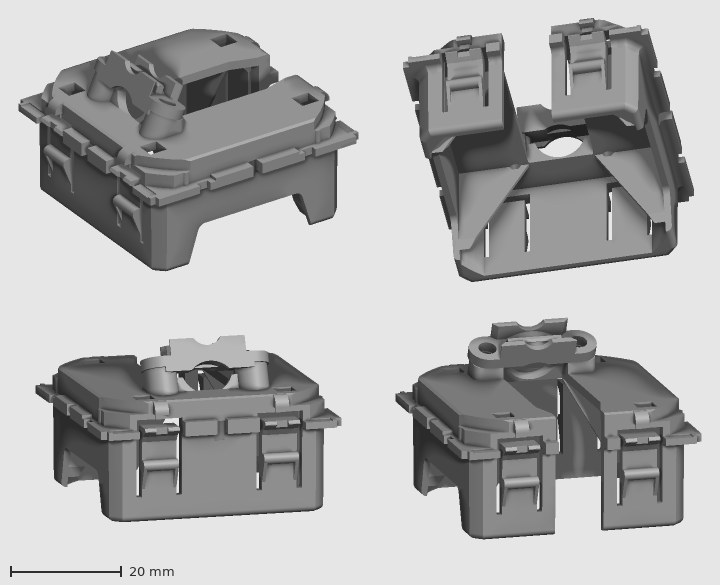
import cadquery as cq
import math

COVER_TOP = 22.2
COVER_THICKNESS = 1.7
COVER_UNDERSIDE = COVER_TOP - COVER_THICKNESS
LEDGE_TOP = 20.0
FLANGE_BOTTOM = 15.85
FLANGE_TOP = 17.35
SIDE_PAD_TOP = 17.95
FRONT_PAD_TOP = 18.45
CORNER_RECESS_FLOOR = 17.1

FLANGE_HALF = 22.525
COVER_HALF = 20.65
WALL_HALF = 20.2
CAVITY_HALF_X = 18.9
CAVITY_HALF_Y = 18.25
WALL_DRAFT = 0.5
WALL_CORNER_RADIUS = 27.15
CAVITY_CORNER_RADIUS = 23.9
LOWER_TIER_RADIUS = 26.65
UPPER_TIER_RADIUS = 24.6
RIM_FILLET = 1.1
FLANGE_FILLET = 1.1
COVER_BEVEL_HEIGHT = 0.28
COVER_BEVEL_WIDTH = 0.6

CORNER_NOTCH = 1.15
SIDE_NOTCH_CENTRE = 11.35
SIDE_NOTCH_WIDTH = 2.3
SIDE_PAD_END = 9.05
KEYWAY_WIDTH = 1.95
KEYWAY_BOTTOM = 14.3
KEYWAY_FLOOR = 20.0

TONGUE_CENTRE = 11.27
TONGUE_WIDTH = 6.5
WINDOW_WIDTH = 8.55
WINDOW_BOTTOM = 4.6
WINDOW_TOP = 18.95
TONGUE_TOP = 17.6
WINDOW_FILLET = 0.3
NOSE_RADIUS = 1.0
NOSE_Y = -20.75
NOSE_Z = 10.45
CHEEK_WIDTH = 0.6
CHEEK_REACH = 21.65
CHEEK_SHOULDER = 10.05
CHEEK_BOTTOM = 6.1
HEAD_NOTCH_WIDTH = 2.2
HEAD_ROOT = 0.7
HEAD_TIP_BOTTOM = 16.95
HEAD_TIP_TOP = 17.1
HEAD_BEVEL = 0.4
HEAD_NOTCH_DEPTH = 0.9
HOOK_WIDTH = 2.55
HOOK_REACH = 22.2
HOOK_BOTTOM = 19.95
HOOK_TOP = COVER_TOP - 0.05
HOOK_SHOULDER = 21.55
HOOK_SHOULDER_REACH = 21.66
HOOK_NECK_WIDTH = 1.9
HOOK_NECK_REACH = 0.3

SLOT_HALF = 6.07
SLOT_MOUTH_HALF = 4.55
SLOT_TAPER_START = 12.8
SLOT_TAPER_END = 17.85
SLOT_FRONT = -12.0
SQUARE_HOLE = 3.6
SQUARE_HOLE_X = 13.25
SQUARE_HOLE_Y = 16.45

ARCH_TOP = 7.95
ARCH_HALF_BOTTOM = 13.4
ARCH_HALF_TOP = 10.95
ARCH_FILLET = 1.6
GUSSET_THICKNESS = 0.6
GUSSET_FOOT_X = 18.1
STUD_RADIUS = 0.75
STUD_X = 20.25
STUD_Y = 14.25

TILT = math.radians(24.0)
SEAT_Y = -10.99
SEAT_Z = 25.74
SCREW_X = 8.5
POST_RADIUS = 2.95
POST_LENGTH = 7.0
SCREW_HOLE_RADIUS = 1.45
SCREW_HOLE_DEPTH = 6.0
CLEARANCE_RADIUS = 1.65
SKIRT_HEIGHT = 0.95
SKIRT_HALF_LENGTH = 8.3
SKIRT_THICKNESS = 0.9
POST_BLOCK_BACK = -8.3
POST_BLOCK_FILLET = 1.3
WEB_FRONT = -0.7
WEB_BACK = 1.3
WEB_TOP = -1.6
SADDLE_RADIUS = 4.85
STRAP_RADIUS = 3.4
STRAP_THICKNESS = 2.0
ARCH_CENTRE_DEPTH = 4.2
ARCH_INNER_RADIUS = 4.8
ARCH_OUTER_RADIUS = 7.6
FIN_HALF_LENGTH = 7.05
FIN_THICKNESS = 1.15
FIN_HEIGHT = 2.977
FIN_END_TAPER = 0.9
FIN_SQUARE_END = 0.3
FIN_NOTCH_RADIUS = 2.97
FIN_NOTCH_DEPTH = 1.45
TOOTH_HALF_LENGTH = 5.0
TOOTH_THICKNESS = 1.4
TOOTH_OFFSET = 0.3
TOOTH_TOP = 3.9
TOOTH_BEVEL = 0.4


def block(x0, x1, y0, y1, z0, z1):
    """Axis-aligned box between two opposite corners."""
    return cq.Workplane("XY").box(x1 - x0, y1 - y0, z1 - z0, centered=False).translate((x0, y0, z0))


def yz_prism(points, x_centre, width):
    """Closed outline of (y, z) points, extruded symmetrically about x_centre."""
    prism = cq.Workplane("YZ").polyline(points).close().extrude(width / 2, both=True)
    return prism.translate((x_centre, 0, 0))


def square_with_round_corners(half, radius, z0, z1):
    """Square prism whose corners are trimmed by a large circle."""
    square = block(-half, half, -half, half, z0, z1)
    disc = cq.Workplane("XY").workplane(offset=z0).circle(radius).extrude(z1 - z0)
    return square.intersect(disc)


def turned(shape, quarter_turns):
    return shape.rotate((0, 0, 0), (0, 0, 1), 90 * quarter_turns)


def facing_back(shape):
    """Copy of a front-wall feature on the back wall."""
    return shape.mirror("XZ")


def shell_body():
    top_of_wall = cq.Workplane("XY").workplane(offset=FLANGE_BOTTOM)
    wall = top_of_wall.rect(2 * WALL_HALF, 2 * WALL_HALF).extrude(-FLANGE_BOTTOM, taper=WALL_DRAFT)
    wall = wall.intersect(top_of_wall.circle(WALL_CORNER_RADIUS).extrude(-FLANGE_BOTTOM, taper=WALL_DRAFT))
    wall = wall.faces("<Z").edges().fillet(RIM_FILLET)
    flange = block(-FLANGE_HALF, FLANGE_HALF, -FLANGE_HALF, FLANGE_HALF, FLANGE_BOTTOM, FLANGE_TOP)
    body = wall.union(flange)
    margin = 0.1
    inside_flange = cq.selectors.BoxSelector(
        (-COVER_HALF, -COVER_HALF, FLANGE_BOTTOM - margin), (COVER_HALF, COVER_HALF, FLANGE_BOTTOM + margin)
    )
    return body.edges(inside_flange).fillet(FLANGE_FILLET)


def cover_tiers():
    lower = square_with_round_corners(COVER_HALF, LOWER_TIER_RADIUS, FLANGE_TOP, LEDGE_TOP)
    upper = square_with_round_corners(COVER_HALF, UPPER_TIER_RADIUS, LEDGE_TOP, COVER_TOP)
    bevel_foot = COVER_TOP - COVER_BEVEL_HEIGHT
    bevelled = block(-COVER_HALF, COVER_HALF, -COVER_HALF, COVER_HALF, LEDGE_TOP, bevel_foot)
    bevel_angle = math.degrees(math.atan2(COVER_BEVEL_WIDTH, COVER_BEVEL_HEIGHT))
    bevelled = bevelled.union(
        cq.Workplane("XY").workplane(offset=bevel_foot)
        .rect(2 * COVER_HALF, 2 * COVER_HALF).extrude(COVER_BEVEL_HEIGHT, taper=bevel_angle)
    )
    return lower.union(upper.intersect(bevelled))


def edge_pads():
    """Raised pads along the flange, split later by the notches."""
    depth = FLANGE_HALF - COVER_HALF
    pads = None
    inner_window_edge = TONGUE_CENTRE - WINDOW_WIDTH / 2
    for turns, half_length, top in (
        (0, inner_window_edge, FRONT_PAD_TOP),
        (1, SIDE_PAD_END, SIDE_PAD_TOP),
        (2, inner_window_edge, SIDE_PAD_TOP),
        (3, SIDE_PAD_END, SIDE_PAD_TOP),
    ):
        pad = block(-half_length, half_length, -FLANGE_HALF, -FLANGE_HALF + depth, FLANGE_TOP, top)
        pad = turned(pad, turns)
        pads = pad if pads is None else pads.union(pad)
    return pads


def edge_notch(x_centre, width, depth, z0, z1):
    """Notch cutter in the front edge of the flange."""
    return block(x_centre - width / 2, x_centre + width / 2, -FLANGE_HALF, -FLANGE_HALF + depth, z0, z1)


def flange_cutters():
    cutters = []
    for turns in range(4):
        keyway = edge_notch(0, KEYWAY_WIDTH, FLANGE_HALF - KEYWAY_FLOOR, KEYWAY_BOTTOM, SIDE_PAD_TOP)
        above = edge_notch(0, KEYWAY_WIDTH, FLANGE_HALF - COVER_HALF, SIDE_PAD_TOP, FRONT_PAD_TOP)
        corner = edge_notch(-FLANGE_HALF, 2 * CORNER_NOTCH, CORNER_NOTCH, FLANGE_BOTTOM, FLANGE_TOP)
        cutters.append(turned(keyway.union(above).union(corner), turns))
    window_edge = TONGUE_CENTRE + WINDOW_WIDTH / 2
    recess_centre = (COVER_HALF + window_edge) / 2
    for side in (-1, 1):
        notch = edge_notch(side * SIDE_NOTCH_CENTRE, SIDE_NOTCH_WIDTH, CORNER_NOTCH,
                           FLANGE_BOTTOM, FLANGE_TOP)
        recess = edge_notch(side * recess_centre, COVER_HALF - window_edge, FLANGE_HALF - COVER_HALF,
                            CORNER_RECESS_FLOOR, FLANGE_TOP)
        cutters += [turned(notch, 1), turned(notch, 3), recess, turned(recess, 2)]
    return cutters


def cable_slot():
    """Slot in the cover, narrowing to a mouth that opens through the back wall."""
    right_side = [
        (SLOT_HALF, SLOT_FRONT),
        (SLOT_HALF, SLOT_TAPER_START),
        (SLOT_MOUTH_HALF, SLOT_TAPER_END),
        (SLOT_MOUTH_HALF, FLANGE_HALF),
    ]
    left_side = [(-x, y) for x, y in reversed(right_side)]
    return cq.Workplane("XY").polyline(right_side + left_side).close().extrude(COVER_TOP)


def square_holes():
    return (
        cq.Workplane("XY").workplane(offset=COVER_UNDERSIDE)
        .rect(2 * SQUARE_HOLE_X, 2 * SQUARE_HOLE_Y, forConstruction=True).vertices()
        .rect(SQUARE_HOLE, SQUARE_HOLE).extrude(COVER_THICKNESS)
    )


def side_arch():
    """Trapezoidal opening through both side walls."""
    outline = [
        (-ARCH_HALF_BOTTOM, 0),
        (ARCH_HALF_BOTTOM, 0),
        (ARCH_HALF_TOP, ARCH_TOP),
        (-ARCH_HALF_TOP, ARCH_TOP),
    ]
    return yz_prism(outline, 0, 2 * FLANGE_HALF).edges("|X and >Z").fillet(ARCH_FILLET)


def gusset(side):
    """Thin cross rib at the start of the slot taper, sloping from the cover slot down to the side wall."""
    outline = [
        (side * SLOT_HALF, COVER_UNDERSIDE),
        (side * CAVITY_HALF_X, COVER_UNDERSIDE),
        (side * CAVITY_HALF_X, 0),
        (side * GUSSET_FOOT_X, 0),
    ]
    rib = cq.Workplane("XZ").polyline(outline).close().extrude(GUSSET_THICKNESS)
    return rib.translate((0, SLOT_TAPER_START, 0))


def tongue_window(x_centre):
    window = block(x_centre - WINDOW_WIDTH / 2, x_centre + WINDOW_WIDTH / 2,
                   -FLANGE_HALF, -CAVITY_HALF_Y, WINDOW_BOTTOM, WINDOW_TOP)
    recess_in_wall = window.edges("|Y and <Z").fillet(WINDOW_FILLET)
    cover_guard = block(x_centre - WINDOW_WIDTH / 2, x_centre + WINDOW_WIDTH / 2,
                        -FLANGE_HALF, -COVER_HALF, FLANGE_TOP, COVER_TOP)
    return recess_in_wall.union(cover_guard)


def wall_half_at(height):
    """Half width of the drafted wall at a height."""
    return WALL_HALF - (FLANGE_BOTTOM - height) * math.tan(math.radians(WALL_DRAFT))


def spring_tongue(x_centre):
    """Blade in the window, with a bevelled and notched head level with the flange."""
    fillet_foot = FLANGE_BOTTOM - FLANGE_FILLET
    blade = [
        (-CAVITY_HALF_Y, WINDOW_BOTTOM),
        (-wall_half_at(WINDOW_BOTTOM), WINDOW_BOTTOM),
        (-wall_half_at(fillet_foot), fillet_foot),
        (-WALL_HALF - HEAD_ROOT, FLANGE_BOTTOM),
        (-FLANGE_HALF, HEAD_TIP_BOTTOM),
        (-FLANGE_HALF, HEAD_TIP_TOP),
        (-FLANGE_HALF + HEAD_BEVEL, TONGUE_TOP),
        (-CAVITY_HALF_Y, TONGUE_TOP),
    ]
    tongue = yz_prism(blade, x_centre, TONGUE_WIDTH)
    notch = block(x_centre - HEAD_NOTCH_WIDTH / 2, x_centre + HEAD_NOTCH_WIDTH / 2,
                  -FLANGE_HALF, -FLANGE_HALF + HEAD_NOTCH_DEPTH, FLANGE_BOTTOM, TONGUE_TOP)
    return tongue.cut(notch).union(catch(x_centre))


def catch(x_centre):
    """Rounded nose across the tongue, with a tapering cheek below each end."""
    nose = (
        cq.Workplane("YZ").center(NOSE_Y, NOSE_Z).circle(NOSE_RADIUS).extrude(TONGUE_WIDTH / 2, both=True)
        .translate((x_centre, 0, 0))
    )
    root = [
        (-CAVITY_HALF_Y, NOSE_Z + NOSE_RADIUS),
        (NOSE_Y, NOSE_Z + NOSE_RADIUS),
        (NOSE_Y, NOSE_Z - NOSE_RADIUS),
        (-CAVITY_HALF_Y, NOSE_Z - NOSE_RADIUS),
    ]
    nose = nose.union(yz_prism(root, x_centre, TONGUE_WIDTH))
    cheek_outline = [
        (-CAVITY_HALF_Y, NOSE_Z),
        (-CHEEK_REACH, CHEEK_SHOULDER),
        (-wall_half_at(CHEEK_BOTTOM), CHEEK_BOTTOM),
    ]
    for side in (-1, 1):
        cheek_x = x_centre + side * (TONGUE_WIDTH - CHEEK_WIDTH) / 2
        nose = nose.union(yz_prism(cheek_outline, cheek_x, CHEEK_WIDTH))
    return nose


def snap_hook(x_centre):
    """Rounded hook on the cover edge, above a narrower neck."""
    root = -COVER_HALF + COVER_BEVEL_WIDTH
    hook = (
        cq.Workplane("YZ").moveTo(root, HOOK_BOTTOM)
        .lineTo(-HOOK_REACH, HOOK_BOTTOM)
        .threePointArc((-HOOK_SHOULDER_REACH, HOOK_SHOULDER), (-COVER_HALF, HOOK_TOP))
        .lineTo(root, HOOK_TOP)
        .close().extrude(HOOK_WIDTH / 2, both=True).translate((x_centre, 0, 0))
    )
    neck = block(x_centre - HOOK_NECK_WIDTH / 2, x_centre + HOOK_NECK_WIDTH / 2,
                 -COVER_HALF - HOOK_NECK_REACH, root, WINDOW_TOP, HOOK_BOTTOM)
    return hook.union(neck)


def corner_studs():
    """Half-round studs beside the lower corner tiers."""
    return (
        cq.Workplane("XY").workplane(offset=FLANGE_TOP)
        .rect(2 * STUD_X, 2 * STUD_Y, forConstruction=True).vertices()
        .circle(STUD_RADIUS).extrude(LEDGE_TOP - FLANGE_TOP)
    )


SEAT = cq.Plane(origin=(0, SEAT_Y, SEAT_Z), xDir=(1, 0, 0), normal=(0, math.sin(TILT), math.cos(TILT)))


def on_seat(height=0.0):
    return cq.Workplane(SEAT).workplane(offset=height)


def cable_bore(radius, height, start, end):
    """Cylinder across the clamp, its axis at a height above the seat."""
    across = cq.Plane(origin=SEAT.toWorldCoords((0, start, height)), xDir=(1, 0, 0), normal=SEAT.yDir)
    return cq.Workplane(across).circle(radius).extrude(end - start)


def clamp_seat():
    """Two tilted screw posts with blocks behind, a web between them and a front skirt."""
    posts = on_seat().pushPoints([(-SCREW_X, 0), (SCREW_X, 0)]).circle(POST_RADIUS).extrude(-POST_LENGTH)
    profile = [
        (SEAT_Y, SEAT_Z),
        (POST_BLOCK_BACK, SEAT_Z - (POST_BLOCK_BACK - SEAT_Y) * math.tan(TILT)),
        (POST_BLOCK_BACK, COVER_UNDERSIDE),
        (SEAT_Y - (SEAT_Z - COVER_UNDERSIDE) * math.tan(TILT), COVER_UNDERSIDE),
    ]
    backing = yz_prism(profile, 0, 2 * (SCREW_X + POST_RADIUS))
    backing = backing.edges("|Z").fillet(POST_BLOCK_FILLET)
    backing = backing.cut(block(-SLOT_HALF, SLOT_HALF, -COVER_HALF, 0, 0, SEAT_Z))
    web = (
        on_seat(WEB_TOP).center(0, (WEB_FRONT + WEB_BACK) / 2)
        .rect(2 * SCREW_X, WEB_BACK - WEB_FRONT).extrude(-POST_LENGTH)
    )
    skirt = (
        on_seat().center(0, SKIRT_THICKNESS / 2 - STRAP_RADIUS)
        .rect(2 * SKIRT_HALF_LENGTH, SKIRT_THICKNESS).extrude(-SKIRT_HEIGHT)
    )
    skirt = skirt.cut(cable_bore(ARCH_INNER_RADIUS, -ARCH_CENTRE_DEPTH, -STRAP_RADIUS, 0))
    below_cover = block(-COVER_HALF, COVER_HALF, -COVER_HALF, COVER_HALF, 0, COVER_UNDERSIDE)
    return posts.union(backing).union(web).union(skirt).cut(below_cover)


def screw_holes(radius, start, depth):
    return on_seat(start).pushPoints([(-SCREW_X, 0), (SCREW_X, 0)]).circle(radius).extrude(depth)


def build_housing():
    body = shell_body().union(cover_tiers()).union(edge_pads()).union(corner_studs())
    cavity = block(-CAVITY_HALF_X, CAVITY_HALF_X, -CAVITY_HALF_Y, CAVITY_HALF_Y, 0, COVER_UNDERSIDE)
    cavity = cavity.intersect(cq.Workplane("XY").circle(CAVITY_CORNER_RADIUS).extrude(COVER_UNDERSIDE))
    body = body.cut(cavity)
    for cutter in flange_cutters():
        body = body.cut(cutter)
    for side in (-1, 1):
        body = body.union(gusset(side)).union(facing_back(gusset(side)))
    body = body.cut(side_arch()).cut(square_holes())
    for side in (-1, 1):
        x_centre = side * TONGUE_CENTRE
        window = tongue_window(x_centre)
        tongue = spring_tongue(x_centre)
        hook = snap_hook(x_centre)
        body = body.cut(window).union(tongue).union(hook)
        body = body.cut(facing_back(window)).union(facing_back(tongue)).union(facing_back(hook))
    body = body.cut(cable_slot()).union(clamp_seat())
    body = body.cut(cable_bore(SADDLE_RADIUS, 0, WEB_FRONT, WEB_BACK))
    return body.cut(screw_holes(SCREW_HOLE_RADIUS, -SCREW_HOLE_DEPTH, SCREW_HOLE_DEPTH))


def strap_fin(side):
    """Upright fin along one long edge, tapered at its inner ends, with a round notch for the cable."""
    outer = side * STRAP_RADIUS
    shoulder = side * (STRAP_RADIUS - FIN_SQUARE_END)
    inner = side * (STRAP_RADIUS - FIN_THICKNESS)
    half_outline = [
        (FIN_HALF_LENGTH, outer),
        (FIN_HALF_LENGTH, shoulder),
        (FIN_HALF_LENGTH - FIN_END_TAPER, inner),
    ]
    outline = half_outline + [(-x, y) for x, y in reversed(half_outline)]
    top = STRAP_THICKNESS + FIN_HEIGHT
    fin = on_seat().polyline(outline).close().extrude(top)
    notch_height = top + FIN_NOTCH_RADIUS - FIN_NOTCH_DEPTH
    return fin.cut(cable_bore(FIN_NOTCH_RADIUS, notch_height, min(outer, inner), max(outer, inner)))


def strap_tooth():
    """Bevelled gripping tooth across the middle of the strap."""
    tooth = on_seat().center(0, TOOTH_OFFSET).rect(2 * TOOTH_HALF_LENGTH, TOOTH_THICKNESS).extrude(TOOTH_TOP)
    top_face = cq.selectors.DirectionMinMaxSelector(SEAT.zDir, True)
    return tooth.faces(top_face).edges(cq.selectors.ParallelDirSelector(SEAT.xDir)).chamfer(TOOTH_BEVEL)


def build_strap():
    plate = on_seat().slot2D(2 * (SCREW_X + STRAP_RADIUS), 2 * STRAP_RADIUS).extrude(STRAP_THICKNESS)
    above_seat = on_seat().rect(2 * SCREW_X, 2 * STRAP_RADIUS).extrude(ARCH_OUTER_RADIUS)
    crown = cable_bore(ARCH_OUTER_RADIUS, -ARCH_CENTRE_DEPTH, -STRAP_RADIUS, STRAP_RADIUS)
    strap = plate.union(crown.intersect(above_seat))
    for side in (-1, 1):
        strap = strap.union(strap_fin(side))
    strap = strap.cut(cable_bore(ARCH_INNER_RADIUS, -ARCH_CENTRE_DEPTH, -STRAP_RADIUS, STRAP_RADIUS))
    strap = strap.union(strap_tooth())
    return strap.cut(screw_holes(CLEARANCE_RADIUS, 0, STRAP_THICKNESS))


housing = build_housing()
strap = build_strap()

result = cq.Compound.makeCompound([housing.val(), strap.val()])